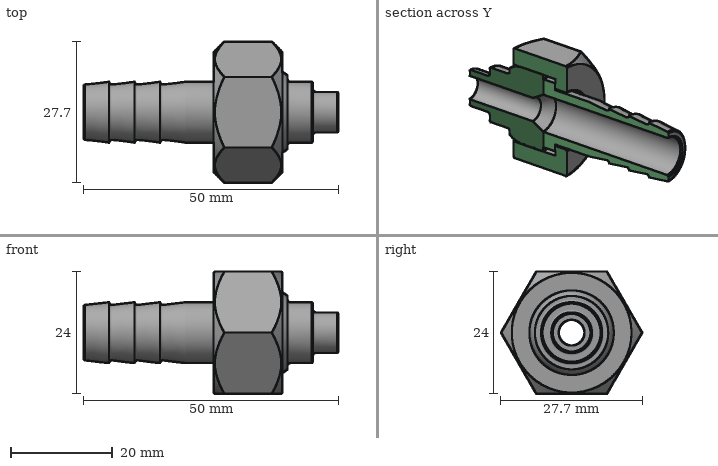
import cadquery as cq
import math

OVERALL_LENGTH = 50.0

TAIL_RADIUS = 12.0 / 2
BARB_COUNT = 4
BARB_PITCH = 5.0
BARB_HEIGHT = 0.54
TAIL_TIP_CHAMFER = 0.25
TAIL_BORE_RADIUS = 8.0 / 2
TAIL_BORE_CHAMFER = 0.3
FLANGE_RADIUS = 14.95 / 2
FLANGE_LENGTH = 3.0

NUT_ACROSS_FLATS = 24.0
NUT_START = 25.5
NUT_LENGTH = 13.5
NUT_FACE_RADIUS = 11.75
NUT_WALL = 3.0
NUT_HOLE_RADIUS = 12.3 / 2
NUT_HOLE_CHAMFER = 0.3
NUT_BORE_RADIUS = 16.6 / 2

COLLAR_RADIUS = NUT_BORE_RADIUS
COLLAR_FACE = 40.0
COLLAR_FACE_RADIUS = 7.2
COLLAR_ROUNDING = 4.0
STEP_RADIUS = 12.0 / 2
STEP_END = 45.0
NOSE_RADIUS = 8.0 / 2
PLUG_FILLET = 0.5
PLUG_CHAMFER = 0.3
PLUG_BORE_RADIUS = 5.0 / 2
BORE_CONE_HALF_ANGLE = 30.0

NUT_END = NUT_START + NUT_LENGTH
FLANGE_START = NUT_START + NUT_WALL
JOINT = FLANGE_START + FLANGE_LENGTH
BARB_ROOT_RADIUS = TAIL_RADIUS - BARB_HEIGHT


def revolve(profile):
    """Turn a closed (x, radius) profile about the X axis."""
    return profile.close().revolve(360, (0, 0, 0), (1, 0, 0))


def cylinder(start, end, radius):
    return cq.Workplane("YZ", origin=(start, 0, 0)).circle(radius).extrude(end - start)


def cone(start, end, start_radius, end_radius):
    outline = cq.Workplane("XZ").moveTo(start, 0).lineTo(start, start_radius)
    return revolve(outline.lineTo(end, end_radius).lineTo(end, 0))


def root_fillet(profile, face, radius, fillet):
    """Quarter round from the face at x = face onto the smaller cylinder beyond it."""
    middle = fillet * (1 - math.sqrt(0.5))
    return profile.threePointArc((face + middle, radius + middle), (face + fillet, radius))


def make_hose_tail():
    profile = cq.Workplane("XZ").moveTo(0, 0).lineTo(0, BARB_ROOT_RADIUS - TAIL_TIP_CHAMFER)
    profile = profile.lineTo(TAIL_TIP_CHAMFER, BARB_ROOT_RADIUS)
    for barb in range(1, BARB_COUNT + 1):
        crest = barb * BARB_PITCH
        profile = profile.lineTo(crest, TAIL_RADIUS)
        if barb < BARB_COUNT:
            profile = root_fillet(profile, crest, BARB_ROOT_RADIUS, BARB_HEIGHT)
    profile = profile.lineTo(FLANGE_START, TAIL_RADIUS).lineTo(FLANGE_START, FLANGE_RADIUS)
    profile = profile.lineTo(JOINT, FLANGE_RADIUS).lineTo(JOINT, 0)
    bore = cylinder(0, JOINT, TAIL_BORE_RADIUS)
    mouth = cone(0, TAIL_BORE_CHAMFER, TAIL_BORE_RADIUS + TAIL_BORE_CHAMFER, TAIL_BORE_RADIUS)
    return revolve(profile).cut(bore).cut(mouth)


def make_nut():
    corner_radius = NUT_ACROSS_FLATS / math.sqrt(3)
    face = cq.Workplane("YZ", origin=(NUT_START, 0, 0))
    hexagon = face.polygon(6, 2 * corner_radius).extrude(NUT_LENGTH)
    corner_chamfer = corner_radius - NUT_FACE_RADIUS
    chamfered_blank = cylinder(NUT_START, NUT_END, corner_radius).edges().chamfer(corner_chamfer)
    hole = cylinder(NUT_START, NUT_END, NUT_HOLE_RADIUS)
    mouth = cone(
        NUT_START, NUT_START + NUT_HOLE_CHAMFER, NUT_HOLE_RADIUS + NUT_HOLE_CHAMFER, NUT_HOLE_RADIUS
    )
    bore = cylinder(FLANGE_START, NUT_END, NUT_BORE_RADIUS)
    return hexagon.intersect(chamfered_blank).cut(hole).cut(mouth).cut(bore)


def make_plug():
    rounding_centre_radius = COLLAR_RADIUS - COLLAR_ROUNDING
    end_angle = math.asin((COLLAR_FACE_RADIUS - rounding_centre_radius) / COLLAR_ROUNDING)
    rounding_start = COLLAR_FACE - COLLAR_ROUNDING * math.cos(end_angle)
    middle_angle = (math.pi / 2 + end_angle) / 2
    rounding_middle = (
        rounding_start + COLLAR_ROUNDING * math.cos(middle_angle),
        rounding_centre_radius + COLLAR_ROUNDING * math.sin(middle_angle),
    )
    profile = cq.Workplane("XZ").moveTo(JOINT, 0).lineTo(JOINT, COLLAR_RADIUS)
    profile = profile.lineTo(rounding_start, COLLAR_RADIUS)
    profile = profile.threePointArc(rounding_middle, (COLLAR_FACE, COLLAR_FACE_RADIUS))
    profile = profile.lineTo(COLLAR_FACE, STEP_RADIUS + PLUG_FILLET)
    profile = root_fillet(profile, COLLAR_FACE, STEP_RADIUS, PLUG_FILLET)
    profile = profile.lineTo(STEP_END - PLUG_CHAMFER, STEP_RADIUS)
    profile = profile.lineTo(STEP_END, STEP_RADIUS - PLUG_CHAMFER)
    profile = profile.lineTo(STEP_END, NOSE_RADIUS + PLUG_FILLET)
    profile = root_fillet(profile, STEP_END, NOSE_RADIUS, PLUG_FILLET)
    profile = profile.lineTo(OVERALL_LENGTH - PLUG_CHAMFER, NOSE_RADIUS)
    profile = profile.lineTo(OVERALL_LENGTH, NOSE_RADIUS - PLUG_CHAMFER).lineTo(OVERALL_LENGTH, 0)
    bore = cylinder(JOINT, OVERALL_LENGTH, PLUG_BORE_RADIUS)
    cone_depth = (TAIL_BORE_RADIUS - PLUG_BORE_RADIUS) / math.tan(math.radians(BORE_CONE_HALF_ANGLE))
    bore_cone = cone(JOINT, JOINT + cone_depth, TAIL_BORE_RADIUS, PLUG_BORE_RADIUS)
    return revolve(profile).cut(bore).cut(bore_cone)


hose_tail = make_hose_tail()
nut = make_nut()
plug = make_plug()

result = cq.Compound.makeCompound([hose_tail.val(), nut.val(), plug.val()])